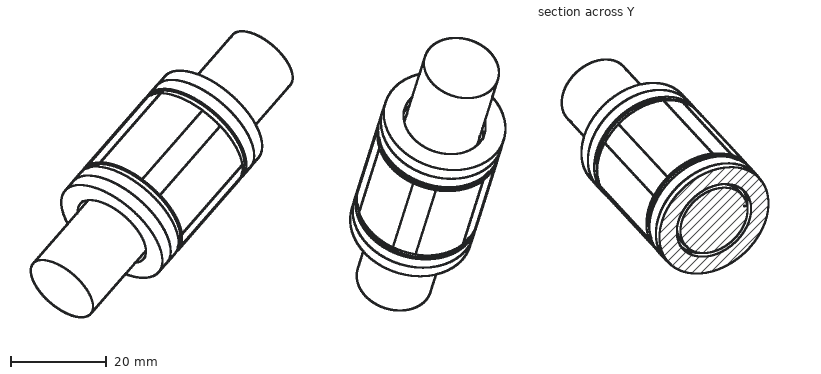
import cadquery as cq

shaft_length = 72.0
shaft_diameter = 16.0

bushing_length = 36.0
bushing_diameter = 26.0
seal_diameter = 25.9
seal_length = 2.95
bore_diameter = 17.5

ring_groove_diameter = 24.9
ring_groove_width = 1.4
ring_groove_offset = 5.75

track_count = 5
track_angle = 22.0
first_track_angle = 67.0
track_depth = 0.1

cutter_diameter = bushing_diameter + 0.7
sleeve_length = bushing_length - 2 * (ring_groove_offset + ring_groove_width)


def cylinder(diameter, length, start):
    """Solid cylinder along Y from y = start to y = start + length."""
    return cq.Workplane("XZ", origin=(0, start, 0)).circle(diameter / 2).extrude(-length)


def tube(outer_diameter, inner_diameter, length, start):
    return cylinder(outer_diameter, length, start).cut(cylinder(inner_diameter, length, start))


def track_recess():
    """Shallow curved strip along the sleeve, centred on the +X direction."""
    sleeve_radius = bushing_diameter / 2
    profile = cq.Workplane("XY").center(sleeve_radius, 0).rect(2 * track_depth, sleeve_length)
    strip = profile.revolve(track_angle, (-sleeve_radius, 0), (-sleeve_radius, 1))
    return strip.rotate((0, 0, 0), (0, 1, 0), -track_angle / 2)


body = cylinder(bushing_diameter, bushing_length, -bushing_length / 2)

seal_starts = (-bushing_length / 2, bushing_length / 2 - seal_length)
groove_starts = (-sleeve_length / 2 - ring_groove_width, sleeve_length / 2)
for seal_start, groove_start in zip(seal_starts, groove_starts):
    body = body.cut(tube(cutter_diameter, seal_diameter, seal_length, seal_start))
    body = body.cut(tube(cutter_diameter, ring_groove_diameter, ring_groove_width, groove_start))
    body = body.cut(cylinder(bore_diameter, seal_length, seal_start))

recess = track_recess()
for index in range(track_count):
    angle = first_track_angle + index * 360 / track_count
    body = body.cut(recess.rotate((0, 0, 0), (0, 1, 0), -angle))

shaft = cylinder(shaft_diameter, shaft_length, -shaft_length / 2)

result = body.union(shaft)